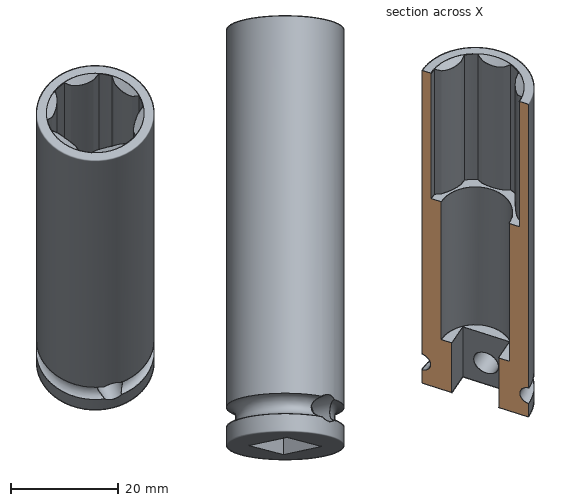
import cadquery as cq
import math

length = 80.0
outer_radius = 11.0
rim_fillet = 0.2

groove_bottom = 3.5
groove_top = 7.4
groove_depth = 1.8

pin_diameter = 5.1
pin_height = (groove_bottom + groove_top) / 2

drive_side = 9.6
drive_depth = 12.8

flank_count = 6
corner_radius = 9.0
flank_radius = 7.5
bend_radius = 8.1
corner_half_angle = 8.0
bend_half_angle = 16.0
cavity_depth = 32.0
relief_radius = 7.0
mouth_radius = 9.1
mouth_angle = 30.0


def polar(radius, degrees):
    angle = math.radians(degrees)
    return (radius * math.cos(angle), radius * math.sin(angle))


def make_body():
    """Cylinder with softened end rims and a round-bottomed groove."""
    body = cq.Workplane("XY").circle(outer_radius).extrude(length)
    body = body.faces("<Z or >Z").edges().fillet(rim_fillet)
    groove = (
        cq.Workplane("XZ")
        .moveTo(outer_radius, groove_bottom)
        .threePointArc((outer_radius - groove_depth, pin_height), (outer_radius, groove_top))
        .close()
        .revolve(360, (0, 0, 0), (0, 1, 0))
    )
    return body.cut(groove)


def make_cavity():
    """Six bowed flanks joined to short corner arcs by straight ramps."""
    pitch = 360 / flank_count
    ramp_half_angle = pitch / 2 - corner_half_angle
    outline = cq.Workplane("XY").workplane(offset=length - cavity_depth)
    outline = outline.moveTo(*polar(corner_radius, -ramp_half_angle))
    for index in range(flank_count):
        middle = index * pitch
        outline = (
            outline.lineTo(*polar(bend_radius, middle - bend_half_angle))
            .threePointArc(polar(flank_radius, middle), polar(bend_radius, middle + bend_half_angle))
            .lineTo(*polar(corner_radius, middle + ramp_half_angle))
            .threePointArc(
                polar(corner_radius, middle + pitch / 2),
                polar(corner_radius, middle + pitch - ramp_half_angle),
            )
        )
    return outline.close().extrude(cavity_depth)


def make_mouth():
    """Cone that leads into the cavity."""
    cone_depth = mouth_radius * math.tan(math.radians(mouth_angle))
    return (
        cq.Workplane("XZ")
        .polyline([(0, length), (mouth_radius, length), (0, length - cone_depth)])
        .close()
        .revolve(360, (0, 0, 0), (0, 1, 0))
    )


drive = cq.Workplane("XY").rect(drive_side, drive_side).extrude(drive_depth)
relief = (
    cq.Workplane("XY")
    .workplane(offset=drive_depth)
    .circle(relief_radius)
    .extrude(length - drive_depth)
)
pin_hole = (
    cq.Workplane("YZ")
    .center(0, pin_height)
    .circle(pin_diameter / 2)
    .extrude(outer_radius, both=True)
)

result = make_body().cut(make_cavity()).cut(make_mouth()).cut(relief).cut(drive).cut(pin_hole)